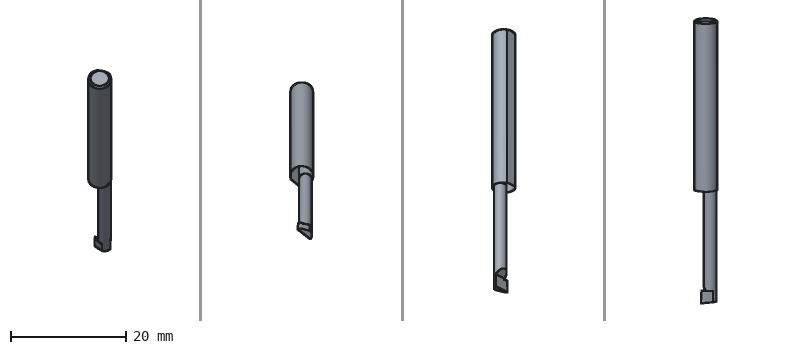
import cadquery as cq
import math

total_length = 50.0
shank_diameter = 4.0
shank_length = 30.0
shank_flat_y = 1.75
chamfer_width = 0.4
chamfer_height = 0.3
neck_diameter = 2.25

head_height = 2.2
edge_x = -1.0
flank_taper = 0.1
flank_break = (-0.45, -0.6)
flank_end = (-0.1, -0.75)
flank_bulge = 0.1
back_end_x = 0.8
face_runout_z = 2.4
end_slope_x = 0.03
end_slope_y = 0.1

shank_radius = shank_diameter / 2
neck_radius = neck_diameter / 2
neck_x = shank_radius - neck_radius
shoulder_z = total_length - shank_length
back_end = (back_end_x, -math.sqrt(neck_radius**2 - (back_end_x - neck_x) ** 2))


def make_shank():
    """Chamfered round bar with a flat along its +Y side."""
    profile = [
        (0, shoulder_z),
        (shank_radius, shoulder_z),
        (shank_radius, total_length - chamfer_height),
        (shank_radius - chamfer_width, total_length),
        (0, total_length),
    ]
    bar = cq.Workplane("XZ").polyline(profile).close().revolve(360, (0, 0), (0, 1))
    flat_cut = (
        cq.Workplane("XY", origin=(0, shank_flat_y, shoulder_z))
        .rect(shank_diameter, shank_diameter)
        .extrude(shank_length)
        .translate((0, shank_radius, 0))
    )
    return bar.cut(flat_cut)


def make_neck():
    """Eccentric neck flush with the +X side of the shank."""
    return cq.Workplane("XY").center(neck_x, 0).circle(neck_radius).extrude(shoulder_z)


def head_outline(z, inset):
    """Half-depth tooth outline at height z, with its flank shifted inward."""
    chord_x = flank_break[0] - edge_x
    chord_y = flank_break[1]
    chord = math.hypot(chord_x, chord_y)
    middle_x = edge_x + chord_x / 2 + flank_bulge * chord_y / chord
    middle_y = chord_y / 2 - flank_bulge * chord_x / chord
    return (
        cq.Workplane("XY", origin=(0, 0, z))
        .moveTo(edge_x + inset, 0)
        .threePointArc((middle_x + inset, middle_y), (flank_break[0] + inset, flank_break[1]))
        .lineTo(flank_end[0] + inset, flank_end[1])
        .lineTo(*back_end)
        .lineTo(neck_x, 0)
        .close()
        .wire()
        .val()
    )


def make_head():
    """Cutting tooth whose flank tapers inward towards the neck."""
    outlines = [head_outline(0, 0), head_outline(head_height, flank_taper)]
    return cq.Workplane(cq.Solid.makeLoft(outlines, True))


def make_back_cut():
    """Clears the neck beside the head so that the tooth can have a flat back."""
    return (
        cq.Workplane("XY")
        .moveTo(*back_end)
        .lineTo(neck_x, 0)
        .lineTo(-shank_radius, 0)
        .lineTo(-shank_radius, -shank_radius)
        .lineTo(back_end_x, -shank_radius)
        .close()
        .extrude(head_height)
    )


def make_rake_cut():
    """Removes the +Y half of the tip, running out at 45 degrees."""
    runout_end = shank_radius
    return (
        cq.Workplane("YZ", origin=(-shank_diameter, 0, 0))
        .polyline([
            (0, 0),
            (0, face_runout_z),
            (runout_end, face_runout_z + runout_end),
            (runout_end, 0),
        ])
        .close()
        .extrude(2 * shank_diameter)
    )


def make_end_relief():
    """Block below an end face that rises away from the cutting tip."""
    end_plane = cq.Plane(
        origin=(edge_x, 0, 0),
        xDir=(1, 0, end_slope_x),
        normal=(-end_slope_x, end_slope_y, 1),
    )
    block_size = 4 * shank_diameter
    return cq.Workplane(end_plane).rect(block_size, block_size).extrude(-shank_diameter)


neck = make_neck().cut(make_back_cut())
tool = make_shank().union(neck).union(make_head())
result = tool.cut(make_rake_cut()).cut(make_end_relief())